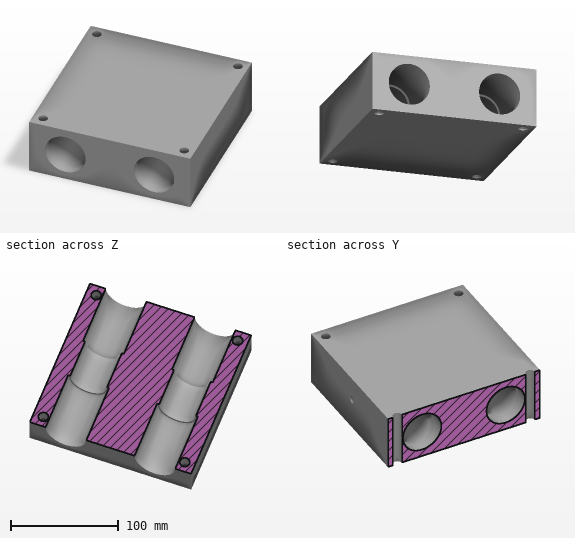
import cadquery as cq

side = 160.0
height = 56.0

mount_diameter = 9.0
mount_spacing = 140.0

bore_diameter = 36.0
seat_diameter = 40.0
seat_depth = 60.0
bore_spacing = 88.0
bore_height = height / 2

port_diameter = 6.92
port_offset_above_bore = 4.0
port_height = bore_height + port_offset_above_bore
port_depth = (side - bore_spacing) / 2


def make_block():
    return cq.Workplane("XY").box(side, side, height, centered=(True, True, False))


def make_mount_holes():
    return (
        cq.Workplane("XY")
        .rect(mount_spacing, mount_spacing, forConstruction=True)
        .vertices()
        .circle(mount_diameter / 2)
        .extrude(height)
    )


def cylinder_along_y(x, y_start, diameter, length):
    start = cq.Vector(x, y_start, bore_height)
    return cq.Workplane(cq.Solid.makeCylinder(diameter / 2, length, start, cq.Vector(0, 1, 0)))


def make_stepped_bore(x):
    """Through bore with a wider bushing seat at each end."""
    through = cylinder_along_y(x, -side / 2, bore_diameter, side)
    front_seat = cylinder_along_y(x, -side / 2, seat_diameter, seat_depth)
    rear_seat = cylinder_along_y(x, side / 2 - seat_depth, seat_diameter, seat_depth)
    return through.union(front_seat).union(rear_seat)


def make_port():
    """Port in the -X face that ends at the axis of the nearer bore."""
    start = cq.Vector(-side / 2, 0, port_height)
    return cq.Workplane(cq.Solid.makeCylinder(port_diameter / 2, port_depth, start, cq.Vector(1, 0, 0)))


result = make_block().cut(make_mount_holes())
for bore_x in (-bore_spacing / 2, bore_spacing / 2):
    result = result.cut(make_stepped_bore(bore_x))
result = result.cut(make_port())